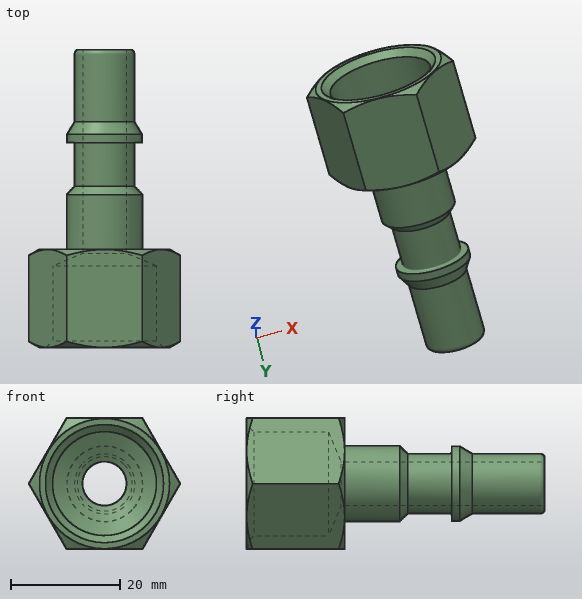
import cadquery as cq
import math

TOTAL_LENGTH = 54.5
NUT_LENGTH = 18.0
BODY_LENGTH = 10.0

ACROSS_FLATS = 24.0
ACROSS_CORNERS = ACROSS_FLATS / math.cos(math.radians(30))
NUT_FACE_DIAMETER = 23.8
NUT_CHAMFER_ANGLE = 30.0

BODY_DIAMETER = 13.9
BODY_CONE_LENGTH = 1.5
SHANK_DIAMETER = 11.0
COLLAR_DIAMETER = 13.75
COLLAR_TIP_DISTANCE = 13.2
COLLAR_CONE_LENGTH = 2.3
COLLAR_RIM_LENGTH = 1.5
COLLAR_ROOT_RADIUS = 0.25
TIP_ROUND_RADIUS = 1.0
TIP_FACE_DIAMETER = 10.0

SOCKET_DIAMETER = 19.0
SOCKET_MOUTH_DIAMETER = 21.6
SOCKET_DEPTH = 15.0
SOCKET_MOUTH_ANGLE = 45.0
BOTTOM_CONE_ANGLE = 135.0
THROUGH_DIAMETER = 8.0


def revolve_about_y(outline):
    return outline.close().revolve(360, (0, 0, 0), (0, 1, 0))


def make_nut():
    """Hexagonal prism with its corners turned off conically at both ends."""
    hexagon = (
        cq.Workplane("XZ")
        .polygon(6, ACROSS_CORNERS)
        .extrude(-NUT_LENGTH)
    )
    face_radius = NUT_FACE_DIAMETER / 2
    corner_radius = ACROSS_CORNERS / 2
    slope = math.tan(math.radians(NUT_CHAMFER_ANGLE))
    chamfer_length = (corner_radius - face_radius) * slope
    envelope = revolve_about_y(
        cq.Workplane("XY")
        .moveTo(0, 0)
        .lineTo(face_radius, 0)
        .lineTo(corner_radius, chamfer_length)
        .lineTo(corner_radius, NUT_LENGTH - chamfer_length)
        .lineTo(face_radius, NUT_LENGTH)
        .lineTo(0, NUT_LENGTH)
    )
    return hexagon.intersect(envelope)


def make_tail():
    """Turned body, shank with retaining collar, and rounded tip."""
    body_radius = BODY_DIAMETER / 2
    shank_radius = SHANK_DIAMETER / 2
    collar_radius = COLLAR_DIAMETER / 2
    tip_radius = TIP_FACE_DIAMETER / 2

    body_end = NUT_LENGTH + BODY_LENGTH
    collar_tip = TOTAL_LENGTH - COLLAR_TIP_DISTANCE
    rim_front = collar_tip - COLLAR_CONE_LENGTH
    rim_back = rim_front - COLLAR_RIM_LENGTH

    round_center = shank_radius - TIP_ROUND_RADIUS
    round_angle = math.acos((tip_radius - round_center) / TIP_ROUND_RADIUS)
    round_start = TOTAL_LENGTH - TIP_ROUND_RADIUS * math.sin(round_angle)
    round_middle = (
        round_center + TIP_ROUND_RADIUS * math.cos(round_angle / 2),
        round_start + TIP_ROUND_RADIUS * math.sin(round_angle / 2),
    )

    return revolve_about_y(
        cq.Workplane("XY")
        .moveTo(0, NUT_LENGTH)
        .lineTo(body_radius, NUT_LENGTH)
        .lineTo(body_radius, body_end)
        .lineTo(shank_radius, body_end + BODY_CONE_LENGTH)
        .lineTo(shank_radius, rim_back - COLLAR_ROOT_RADIUS)
        .radiusArc((shank_radius + COLLAR_ROOT_RADIUS, rim_back), COLLAR_ROOT_RADIUS)
        .lineTo(collar_radius, rim_back)
        .lineTo(collar_radius, rim_front)
        .lineTo(shank_radius, collar_tip)
        .lineTo(shank_radius, round_start)
        .threePointArc(round_middle, (tip_radius, TOTAL_LENGTH))
        .lineTo(0, TOTAL_LENGTH)
    )


def make_bore():
    """Chamfered socket with a conical bottom running into the through hole."""
    mouth_radius = SOCKET_MOUTH_DIAMETER / 2
    socket_radius = SOCKET_DIAMETER / 2
    hole_radius = THROUGH_DIAMETER / 2
    mouth_depth = (mouth_radius - socket_radius) / math.tan(math.radians(SOCKET_MOUTH_ANGLE))
    cone_length = (socket_radius - hole_radius) / math.tan(math.radians(BOTTOM_CONE_ANGLE / 2))
    return revolve_about_y(
        cq.Workplane("XY")
        .moveTo(0, 0)
        .lineTo(mouth_radius, 0)
        .lineTo(socket_radius, mouth_depth)
        .lineTo(socket_radius, SOCKET_DEPTH)
        .lineTo(hole_radius, SOCKET_DEPTH + cone_length)
        .lineTo(hole_radius, TOTAL_LENGTH)
        .lineTo(0, TOTAL_LENGTH)
    )


result = make_nut().union(make_tail()).cut(make_bore())